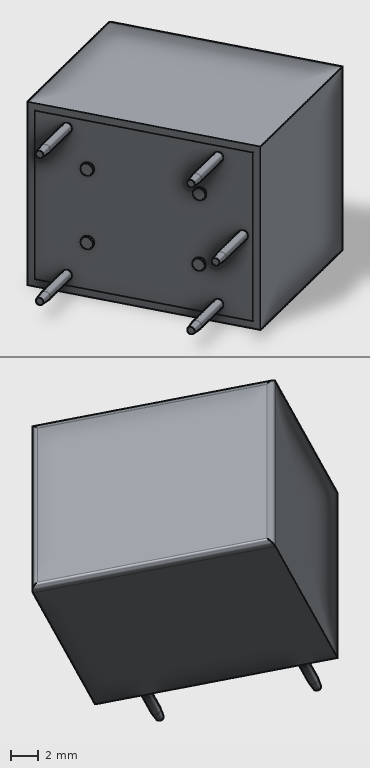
import cadquery as cq

total_depth = 20.3
case_width = 18.8
case_depth = 15.3
case_height = 15.0
wall = 0.6
back_edge_radius = 0.5

plate_width = case_width - 2 * wall
plate_height = case_height - 2 * wall
plate_thickness = 1.0

standoff_diameter = 1.0
standoff_height = 0.25
standoff_x = 4.5
standoff_z = 3.0
shifted_standoff = (4.55, 2.76)
standoff_centres = [
    (-standoff_x, standoff_z),
    (-standoff_x, -standoff_z),
    (standoff_x, -standoff_z),
    shifted_standoff,
]

pin_diameter = 0.8
pin_tip_diameter = 0.6
pin_length = total_depth - case_depth
pin_tip_length = 1.02
pin_shank_length = pin_length - pin_tip_length
pin_row_z = 6.0
left_pin_x = -6.2
right_pin_x = 6.0
middle_pin_x = 8.0
pin_centres = [
    (left_pin_x, pin_row_z),
    (left_pin_x, -pin_row_z),
    (right_pin_x, pin_row_z),
    (right_pin_x, -pin_row_z),
    (middle_pin_x, 0),
]

face_y = -total_depth / 2 + pin_length


def block_from_face(width, height, depth):
    """Block centred on X and Z that runs from the plate face toward +Y."""
    return cq.Workplane("XY").box(width, depth, height).translate((0, face_y + depth / 2, 0))


def outward_from_face(distance, centre):
    """Workplane facing -Y, a given distance outside the plate face, centred at (x, z)."""
    x, z = centre
    return cq.Workplane("XZ", origin=(x, face_y - distance, z))


def make_case():
    """Case with rounded back edges and a recess for the base plate."""
    body = block_from_face(case_width, case_height, case_depth)
    body = body.faces(">Y").edges().fillet(back_edge_radius)
    recess = block_from_face(plate_width, plate_height, plate_thickness)
    return body.cut(recess)


def make_base_plate():
    """Base plate together with its standoffs."""
    plate = block_from_face(plate_width, plate_height, plate_thickness)
    for centre in standoff_centres:
        standoff = outward_from_face(0, centre).circle(standoff_diameter / 2).extrude(standoff_height)
        plate = plate.union(standoff)
    return plate


def make_pin(centre):
    """Round pin standing on the plate face, narrowing along its tip."""
    shank = outward_from_face(0, centre).circle(pin_diameter / 2).extrude(pin_shank_length)
    tip = (
        outward_from_face(pin_shank_length, centre)
        .circle(pin_diameter / 2)
        .workplane(offset=pin_tip_length)
        .circle(pin_tip_diameter / 2)
        .loft(ruled=True)
    )
    return shank.union(tip)


case = make_case()
base_plate = make_base_plate()
pins = [make_pin(centre) for centre in pin_centres]

result = cq.Compound.makeCompound([case.val(), base_plate.val(), *[pin.val() for pin in pins]])